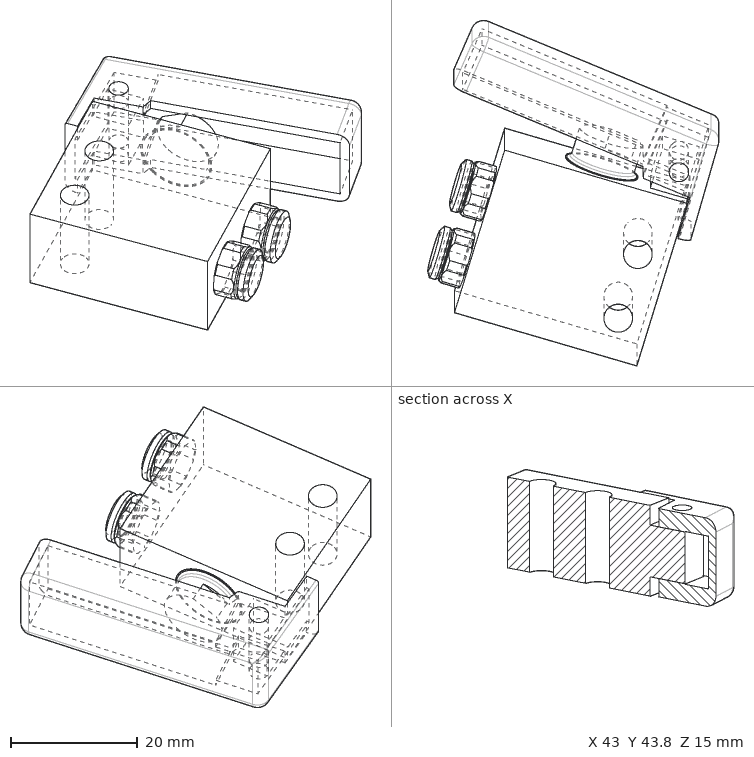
import cadquery as cq
import math


BLOCK_LENGTH = 30.0
BLOCK_HEIGHT = 27.5
BLOCK_THICKNESS = 15.0
MOUNTING_HOLE_DIAMETER = 4.5
MOUNTING_HOLE_X = 5.05
MOUNTING_HOLE_HEIGHTS = (6.55, 17.35)

LUG_LENGTH = 6.05
LUG_HEIGHT = 6.65
LUG_WIDTH = 8.6
PIVOT_OFFSET = -0.05
PIN_RADIUS = 1.55
PIN_X = 2.67
PIN_Y = 31.95

PLUNGER_X = 14.05
PLUNGER_RADIUS = 5.15
PLUNGER_HEIGHT = 5.15
COLLAR_RIM_RADIUS = 5.95
COLLAR_CONE_RADIUS = 5.75
COLLAR_CONE_ANGLE = math.radians(45)
COLLAR_RIM_HEIGHT = 0.15
COLLAR_BLEND_RADIUS = 0.65
FLAT_START = 1.85
FLAT_CHORD_ANGLE = 56

LEVER_TILT = math.radians(6.4)
LEVER_WIDTH = 14.6
LEVER_TIP = (40.55, 34.8)
LEVER_DEPTH = 9.3
LEVER_ROUNDING = 2.0
LEG_EDGE_ROUNDING = 0.5
CEILING_THICKNESS = 1.55
END_WALL = 1.55
SIDE_WALL = 1.7
LEG_WALL = 1.7
LEG_DRAFT = math.radians(1)
FOOT_X = -2.4
FOOT_Y = 21.6
FOOT_THICKNESS = 2.15
CHEEK_START = 32.38
CHEEK_SLANT = 0.85
CHEEK_DROP = 1.7

FITTING_CENTRES = ((6.92, 0.0), (18.8, -2.3))
HEX_ACROSS_FLATS = 8.55
HEX_CORNER_RADIUS = 4.5
HEX_END_RADIUS = 4.25
HEX_BASE_RADIUS = 4.42
HEX_BASE_CHAMFER = 0.18
HEX_CHAMFER_START = 2.95
HEX_LENGTH = 3.4
HEX_TURN = 7.5
NECK_RADIUS = 2.9
RING_START = 3.65
RING_FULL_START = 4.05
RING_FULL_END = 4.95
RING_END = 5.48
RING_INNER_RADIUS = 4.0
RING_RADIUS = 4.25
RING_END_RADIUS = 3.37


def pivot_plane():
    return cq.Workplane("XY", origin=(0, 0, PIVOT_OFFSET))


def prism(points, width):
    """Outline in XY, extruded to both sides of the lever's middle plane."""
    return pivot_plane().polyline(points).close().extrude(width / 2, both=True)


def pin_cylinder():
    return pivot_plane().center(PIN_X, PIN_Y).circle(PIN_RADIUS).extrude(LEVER_WIDTH / 2, both=True)


def lever_point(back, rise):
    """Point at a distance back from the free end along the lever, and a rise square to it."""
    x = LEVER_TIP[0] - back * math.cos(LEVER_TILT) - rise * math.sin(LEVER_TILT)
    y = LEVER_TIP[1] - back * math.sin(LEVER_TILT) + rise * math.cos(LEVER_TILT)
    return x, y


def leg_meeting(foot_x, rise):
    """Where a drafted leg line from the foot meets the lever line at the given rise."""
    line_x, line_y = lever_point(0, rise)
    draft = math.tan(LEG_DRAFT)
    slope = math.tan(LEVER_TILT)
    y = (line_y + slope * (foot_x - draft * FOOT_Y - line_x)) / (1 - slope * draft)
    return foot_x + draft * (y - FOOT_Y), y


def plunger():
    """Upright round plunger, flared at its foot, with a flat on its -X, +Z side."""
    blend_centre_x = PLUNGER_RADIUS + COLLAR_BLEND_RADIUS
    cone_top_x = blend_centre_x - COLLAR_BLEND_RADIUS * math.cos(COLLAR_CONE_ANGLE)
    cone_top_y = COLLAR_RIM_HEIGHT + (COLLAR_CONE_RADIUS - cone_top_x) / math.tan(COLLAR_CONE_ANGLE)
    blend_top_y = cone_top_y + COLLAR_BLEND_RADIUS * math.sin(COLLAR_CONE_ANGLE)
    blend_middle = (
        blend_centre_x - COLLAR_BLEND_RADIUS * math.cos(COLLAR_CONE_ANGLE / 2),
        blend_top_y - COLLAR_BLEND_RADIUS * math.sin(COLLAR_CONE_ANGLE / 2),
    )
    body = (
        cq.Workplane("XY")
        .lineTo(COLLAR_RIM_RADIUS, 0)
        .lineTo(COLLAR_RIM_RADIUS, COLLAR_RIM_HEIGHT)
        .lineTo(COLLAR_CONE_RADIUS, COLLAR_RIM_HEIGHT)
        .lineTo(cone_top_x, cone_top_y)
        .threePointArc(blend_middle, (PLUNGER_RADIUS, blend_top_y))
        .lineTo(PLUNGER_RADIUS, PLUNGER_HEIGHT)
        .lineTo(0, PLUNGER_HEIGHT)
        .close()
        .revolve(360, (0, 0, 0), (0, 1, 0))
    )
    chord_mid = PLUNGER_RADIUS * math.cos(math.radians(FLAT_CHORD_ANGLE / 2))
    cutter = (
        cq.Workplane("XY")
        .box(2 * PLUNGER_RADIUS, PLUNGER_HEIGHT, PLUNGER_RADIUS, centered=(True, False, False))
        .translate((0, FLAT_START, chord_mid))
        .rotate((0, 0, 0), (0, 1, 0), -FLAT_CHORD_ANGLE / 2)
    )
    return body.cut(cutter).translate((PLUNGER_X, BLOCK_HEIGHT, 0))


def valve_block():
    block = cq.Workplane("XY").box(BLOCK_LENGTH, BLOCK_HEIGHT, BLOCK_THICKNESS, centered=(False, False, True))
    holes = (
        cq.Workplane("XY")
        .pushPoints([(MOUNTING_HOLE_X, y) for y in MOUNTING_HOLE_HEIGHTS])
        .circle(MOUNTING_HOLE_DIAMETER / 2)
        .extrude(BLOCK_THICKNESS / 2, both=True)
    )
    lug = (
        cq.Workplane("XY")
        .box(LUG_LENGTH, LUG_HEIGHT, LUG_WIDTH, centered=(False, False, True))
        .translate((0, BLOCK_HEIGHT, PIVOT_OFFSET))
        .cut(pin_cylinder())
    )
    return block.cut(holes).union(lug).union(plunger())


def lever_blank():
    """Solid lever outline with a leg at the left and pivot cheeks that hang below the underside."""
    inner_foot_x = FOOT_X + FOOT_THICKNESS
    outline = [
        (FOOT_X, FOOT_Y),
        (inner_foot_x, FOOT_Y),
        leg_meeting(inner_foot_x, -CHEEK_DROP),
        lever_point(CHEEK_START + CHEEK_SLANT, -CHEEK_DROP),
        lever_point(CHEEK_START, 0),
        LEVER_TIP,
        lever_point(0, LEVER_DEPTH),
        leg_meeting(FOOT_X, LEVER_DEPTH),
    ]
    return prism(outline, LEVER_WIDTH)


def middle(start, end, z):
    return (start[0] + end[0]) / 2, (start[1] + end[1]) / 2, z


def edge_at(solid, point):
    return solid.edges(cq.selectors.NearestToPointSelector(point))


def round_lever(blank):
    """Round the back and free end widely, and the leg's +Z edge slightly."""
    foot = (FOOT_X, FOOT_Y)
    top_left = leg_meeting(FOOT_X, LEVER_DEPTH)
    top_right = lever_point(0, LEVER_DEPTH)
    bottom = PIVOT_OFFSET - LEVER_WIDTH / 2
    top = PIVOT_OFFSET + LEVER_WIDTH / 2

    wide_edges = [(*top_left, PIVOT_OFFSET), (*top_right, PIVOT_OFFSET), middle(top_left, foot, bottom)]
    for z in (bottom, top):
        wide_edges.append(middle(top_left, top_right, z))
        wide_edges.append(middle(top_right, LEVER_TIP, z))
    edges = [edge_at(blank, point).val() for point in wide_edges]
    widely_rounded = blank.newObject(edges).fillet(LEVER_ROUNDING)
    return edge_at(widely_rounded, middle(top_left, foot, top)).fillet(LEG_EDGE_ROUNDING)


def lever():
    """Hollow lever: a wide cavity over the plunger and a narrower slot for the lug."""
    ceiling = LEVER_DEPTH - CEILING_THICKNESS
    cheek_end = CHEEK_START + CHEEK_SLANT
    cavity = prism(
        [
            lever_point(END_WALL, -CHEEK_DROP),
            lever_point(END_WALL, ceiling),
            lever_point(cheek_end, ceiling),
            lever_point(cheek_end, -CHEEK_DROP),
        ],
        LEVER_WIDTH - 2 * SIDE_WALL,
    )
    slot = prism(
        [
            (FOOT_X + LEG_WALL, FOOT_Y),
            leg_meeting(FOOT_X + LEG_WALL, ceiling),
            lever_point(CHEEK_START, ceiling),
            (lever_point(CHEEK_START, 0)[0], FOOT_Y),
        ],
        LUG_WIDTH,
    )
    return round_lever(lever_blank()).cut(cavity).cut(slot).cut(pin_cylinder())


def turned(profile):
    """Solid of revolution about X from (x, radius) points."""
    points = [(profile[0][0], 0), *profile, (profile[-1][0], 0)]
    return cq.Workplane("XY").polyline(points).close().revolve(360, (0, 0, 0), (1, 0, 0))


def fitting(y, z):
    """Push-in fitting along +X: a chamfered hexagon, a short neck and a release ring."""
    hexagon = (
        cq.Workplane("YZ")
        .polygon(6, HEX_ACROSS_FLATS, circumscribed=True)
        .extrude(HEX_LENGTH)
        .rotate((0, 0, 0), (1, 0, 0), -HEX_TURN)
    )
    hex_envelope = turned(
        [
            (0, HEX_BASE_RADIUS),
            (HEX_BASE_CHAMFER, HEX_CORNER_RADIUS),
            (HEX_CHAMFER_START, HEX_CORNER_RADIUS),
            (HEX_LENGTH, HEX_END_RADIUS),
        ]
    )
    neck = turned([(0, NECK_RADIUS), (RING_START, NECK_RADIUS)])
    ring = turned(
        [
            (RING_START, RING_INNER_RADIUS),
            (RING_FULL_START, RING_RADIUS),
            (RING_FULL_END, RING_RADIUS),
            (RING_END, RING_END_RADIUS),
        ]
    )
    return hexagon.intersect(hex_envelope).union(neck).union(ring).translate((BLOCK_LENGTH, y, z))


block = valve_block()
lever_body = lever()
pin = pin_cylinder()
fittings = [fitting(y, z) for y, z in FITTING_CENTRES]

result = cq.Compound.makeCompound(
    [block.val(), lever_body.val(), pin.val(), *[body.val() for body in fittings]]
)